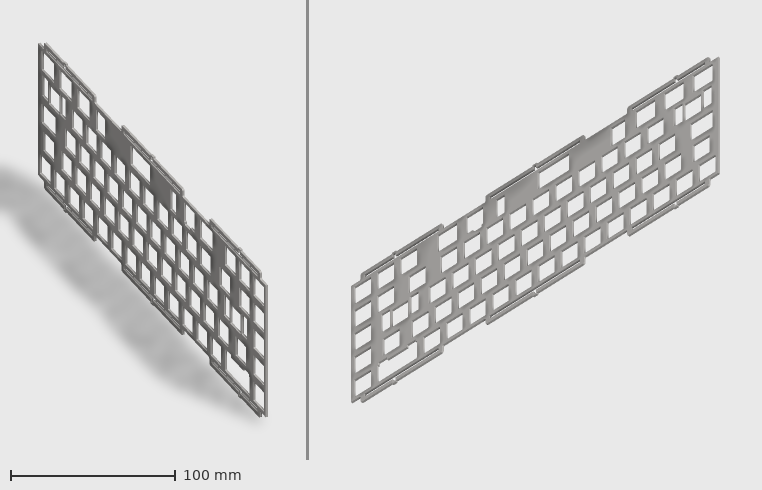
import cadquery as cq

length = 304.8
columns = 16
rows = 5
pitch = length / columns
plate_height = rows * pitch
total_height = 107.5
thickness = 1.5

switch_margin = 2.53
switch_size = pitch - 2 * switch_margin
stabilizer_width = 7.3
stabilizer_height = 15.0
stabilizer_shift = 1.4
stabilizer_reach = 0.625
corner_radius = 0.5

tab_height = 5.2
tab_wall = 3.0
tab_radius = 1.2
slot_height = 2.5
slot_radius = 0.5
side_tab_start = 8.0
side_tab_end = 75.5
side_bump_place = 35.7
middle_tab_width = 81.7

bump_width = 3.5
bump_gap_width = 2.0
bump_wall = 1.2
bump_height = (total_height - plate_height) / 2

right_end = length / 2
upper_edge = plate_height / 2

tabs = [
    (side_tab_start - right_end, side_tab_end - right_end, side_bump_place - right_end),
    (-middle_tab_width / 2, middle_tab_width / 2, 0),
    (right_end - side_tab_end, right_end - side_tab_start, right_end - side_bump_place),
]

last_column = columns - 0.5


def key_run(first, count):
    """Positions of neighbouring keys one pitch apart."""
    return [first + i for i in range(count)]


switch_rows = [
    key_run(0.5, 13) + [13.5, 14, 14.5, last_column],
    [0.75] + key_run(2, 12) + [14.25, last_column],
    [0.625, 0.875] + key_run(2.25, 11) + [13.875, last_column],
    [1.125] + key_run(2.75, 10) + [13.125, 14.5, last_column],
    [0.625, 0.75, 1.875, 2, 3.125, 3.25, 6.875, 7.5, 10.625, 11.75, 11.875]
    + [13.5, 14.5, last_column],
]

wide_keys = [(14, 0), (13.875, 2), (1.125, 3)]
space_bar_stabilizers = [4.25, 4.5, 9.5, 10.5]


def block(x_min, x_max, z_min, z_max, radius=0):
    """Plate-thick block spanning the given ranges, with its corners rounded."""
    body = cq.Workplane("XY").box(x_max - x_min, thickness, z_max - z_min)
    if radius:
        body = body.edges("|Y").fillet(radius)
    return body.translate(((x_min + x_max) / 2, 0, (z_min + z_max) / 2)).val()


def both_edges(upper):
    """A solid at the upper edge and its copy at the lower edge."""
    return [upper, upper.mirror("XY")]


def upper_block(x, width, top):
    """Block standing on the upper edge of the plate."""
    return block(x - width / 2, x + width / 2, upper_edge, top)


def opening(column, row, width, height, shift=0):
    """Cutter for an opening centred on a key, shifted along Z."""
    x = column * pitch - right_end
    z = (row + 0.5) * pitch - upper_edge + shift
    return block(x - width / 2, x + width / 2, z - height / 2, z + height / 2, corner_radius)


def stabilizer(column, row, shift):
    return opening(column, row, stabilizer_width, stabilizer_height, shift)


plate = block(-right_end, right_end, -upper_edge, upper_edge)
bumps = []
cutters = []
for x_min, x_max, bump_x in tabs:
    for tab in both_edges(block(x_min, x_max, upper_edge, upper_edge + tab_height)):
        plate = plate.fuse(tab)
    bumps += both_edges(upper_block(bump_x, bump_width, upper_edge + bump_height))
    slot = block(x_min + tab_wall, x_max - tab_wall, upper_edge, upper_edge + slot_height, slot_radius)
    gap = upper_block(bump_x, bump_gap_width, upper_edge + bump_height - bump_wall)
    cutters += both_edges(slot) + both_edges(gap)

box_end = right_end - side_tab_start / 2
tab_corners = cq.selectors.BoxSelector(
    (-box_end, -thickness, -total_height), (box_end, thickness, total_height)
)
outline = cq.Workplane(plate.clean()).edges("|Y").edges(tab_corners).fillet(tab_radius)

for row, positions in enumerate(switch_rows):
    cutters += [opening(column, row, switch_size, switch_size) for column in positions]

for column, row in wide_keys:
    for reach in (-stabilizer_reach, stabilizer_reach):
        cutters.append(stabilizer(column + reach, row, stabilizer_shift))

for column in space_bar_stabilizers:
    cutters.append(stabilizer(column, rows - 1, -stabilizer_shift))

result = cq.Workplane(outline.val().fuse(*bumps).cut(*cutters).clean().Solids()[0])